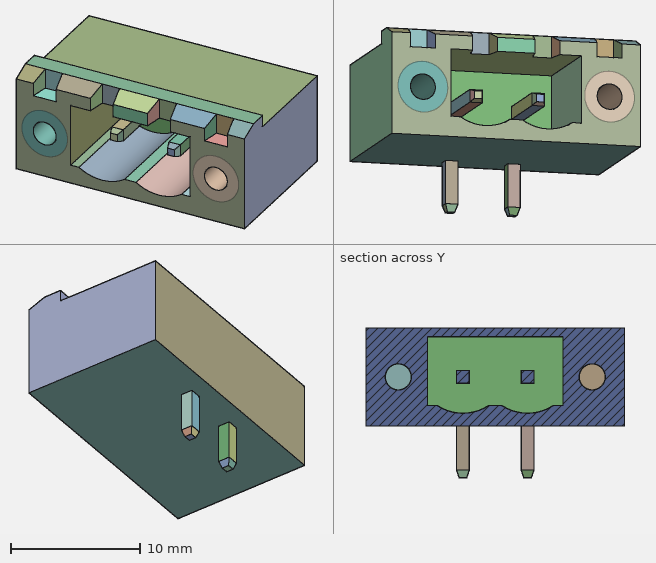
import cadquery as cq

WIDTH = 20.0
DEPTH = 12.0
TOP_Z = 7.6

RAIL_HEIGHT = 1.0
RAIL_DEPTH = 3.0
RAIL_TOP_Z = TOP_Z + RAIL_HEIGHT
SLOPE_RUN = 1.5
SLOPE_DROP = 0.6

PITCH = 5.0
AXIS_Z = 3.8
CONTACT_XS = [-PITCH / 2, PITCH / 2]
FIXING_XS = [-1.5 * PITCH, 1.5 * PITCH]

NOTCH_FLOOR_Z = 6.9
NOTCH_FRONT_WIDTH = 2.0
NOTCH_BACK_WIDTH = 1.5
NOTCH_DEPTH = SLOPE_RUN

CAVITY_WIDTH = 10.45
CAVITY_FLOOR_Z = 1.6
CAVITY_TOP_Z = NOTCH_FLOOR_Z
CAVITY_DEPTH = 8.5
TROUGH_WIDTH = 4.0
TROUGH_DROP = 0.6

PIN_SIZE = 1.0
PIN_TIP_SIZE = 0.6
PIN_TIP_LENGTH = 0.6
PIN_TIP_Y = 2.0
PIN_LEG_Y = 10.0
PIN_LEG_LENGTH = 4.0

BUSHING_DIAMETER = 4.0
BUSHING_BORE = 2.0
BUSHING_DEPTH = 8.5


def make_housing():
    """Box with the sloped rail, extruded along x from its side profile."""
    profile = [
        (0, 0),
        (DEPTH, 0),
        (DEPTH, TOP_Z),
        (RAIL_DEPTH, TOP_Z),
        (RAIL_DEPTH, RAIL_TOP_Z),
        (SLOPE_RUN, RAIL_TOP_Z),
        (0, RAIL_TOP_Z - SLOPE_DROP),
    ]
    return cq.Workplane("YZ").polyline(profile).close().extrude(WIDTH / 2, both=True)


def make_notch(x):
    """Trapezoidal notch, open at the front and top, narrowing to the back."""
    front = NOTCH_FRONT_WIDTH / 2
    back = NOTCH_BACK_WIDTH / 2
    corners = [
        (x - front, 0),
        (x + front, 0),
        (x + back, NOTCH_DEPTH),
        (x - back, NOTCH_DEPTH),
    ]
    height = RAIL_TOP_Z - NOTCH_FLOOR_Z
    return cq.Workplane("XY").workplane(offset=NOTCH_FLOOR_Z).polyline(corners).close().extrude(height)


def make_cavity():
    """Plug opening whose floor dips in an arc below each contact."""
    half = CAVITY_WIDTH / 2
    outline = cq.Workplane("XZ").moveTo(-half, CAVITY_TOP_Z).lineTo(-half, CAVITY_FLOOR_Z)
    for x in CONTACT_XS:
        outline = outline.lineTo(x - TROUGH_WIDTH / 2, CAVITY_FLOOR_Z).threePointArc(
            (x, CAVITY_FLOOR_Z - TROUGH_DROP),
            (x + TROUGH_WIDTH / 2, CAVITY_FLOOR_Z),
        )
    outline = outline.lineTo(half, CAVITY_FLOOR_Z).lineTo(half, CAVITY_TOP_Z).close()
    return outline.extrude(-CAVITY_DEPTH)


def make_bar(start, direction, length):
    """Square bar from start along direction, ending in a tapered tip."""
    base = cq.Workplane(cq.Plane(origin=start, xDir=(1, 0, 0), normal=direction))
    shank_length = length - PIN_TIP_LENGTH
    shank = base.rect(PIN_SIZE, PIN_SIZE).extrude(shank_length)
    tip = (
        base.workplane(offset=shank_length)
        .rect(PIN_SIZE, PIN_SIZE)
        .workplane(offset=PIN_TIP_LENGTH)
        .rect(PIN_TIP_SIZE, PIN_TIP_SIZE)
        .loft(ruled=True)
    )
    return shank.union(tip)


def make_pin(x):
    """Contact bar facing the plug joined to a solder leg pointing down."""
    contact = make_bar((x, PIN_LEG_Y, AXIS_Z), (0, -1, 0), PIN_LEG_Y - PIN_TIP_Y)
    leg = make_bar((x, PIN_LEG_Y, AXIS_Z), (0, 0, -1), AXIS_Z + PIN_LEG_LENGTH)
    return contact.union(leg)


def make_cylinder(x, diameter):
    """Cylinder along a fixing axis, running back from the front face."""
    return cq.Workplane("XZ").center(x, AXIS_Z).circle(diameter / 2).extrude(-BUSHING_DEPTH)


result = make_housing().cut(make_cavity())
for notch_x in FIXING_XS + CONTACT_XS:
    result = result.cut(make_notch(notch_x))
for pin_x in CONTACT_XS:
    result = result.union(make_pin(pin_x))

for fixing_x in FIXING_XS:
    bore = make_cylinder(fixing_x, BUSHING_BORE)
    seat = make_cylinder(fixing_x, BUSHING_DIAMETER)
    bushing = seat.cut(bore)
    result = result.cut(seat, clean=False).union(bushing, clean=False)

result = result.solids()